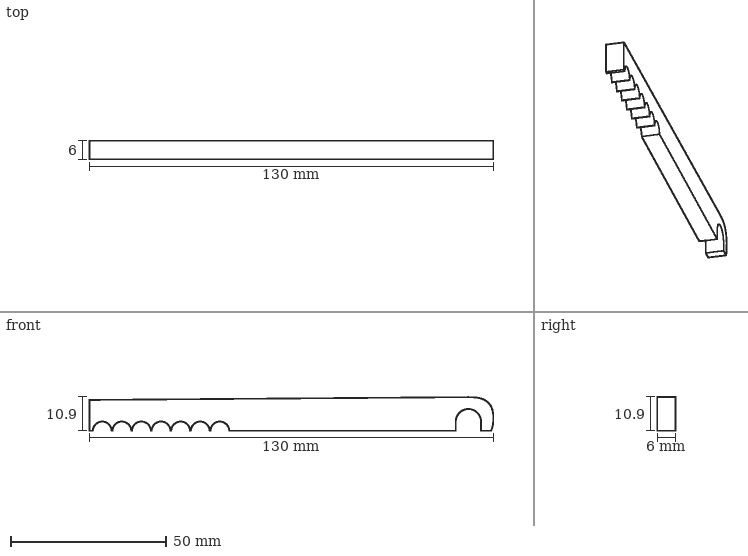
import cadquery as cq

length = 130.0
thickness = 6.0
height = 10.9
tail_height = 10.0

notch_count = 7
notch_radius = 3.0
first_notch_x = 4.2
notch_row_span = 37.8
notch_pitch = notch_row_span / (notch_count - 1)

slot_radius = 4.0
slot_x = 122.0
slot_arc_z = 3.0
shoulder_x = 128.0
shoulder_z = 9.5
hook_bulge_z = 4.7
hook_tip_x = 129.3


def side_plane():
    """XZ plane on the +Y side face; extrusions run toward -Y."""
    return cq.Workplane("XZ", origin=(0, thickness / 2, 0))


def make_bar():
    """Tapered bar with a rounded nose, centred on Y = 0."""
    return (
        side_plane()
        .lineTo(0, tail_height)
        .lineTo(slot_x, height)
        .spline(
            [(shoulder_x, shoulder_z), (length, hook_bulge_z), (hook_tip_x, 0)],
            tangents=[(1, 0), None, (0, -1), None],
            includeCurrent=True,
        )
        .close()
        .extrude(thickness)
    )


def make_notches():
    """Cylinders through the thickness, centred on the bottom edge."""
    centers = [(first_notch_x + i * notch_pitch, 0) for i in range(notch_count)]
    return (
        side_plane()
        .pushPoints(centers)
        .circle(notch_radius)
        .extrude(thickness)
    )


def make_hook_slot():
    """Round-topped slot, open at the bottom."""
    return (
        side_plane()
        .moveTo(slot_x - slot_radius, 0)
        .lineTo(slot_x - slot_radius, slot_arc_z)
        .threePointArc(
            (slot_x, slot_arc_z + slot_radius),
            (slot_x + slot_radius, slot_arc_z),
        )
        .lineTo(slot_x + slot_radius, 0)
        .close()
        .extrude(thickness)
    )


result = make_bar().cut(make_notches()).cut(make_hook_slot())